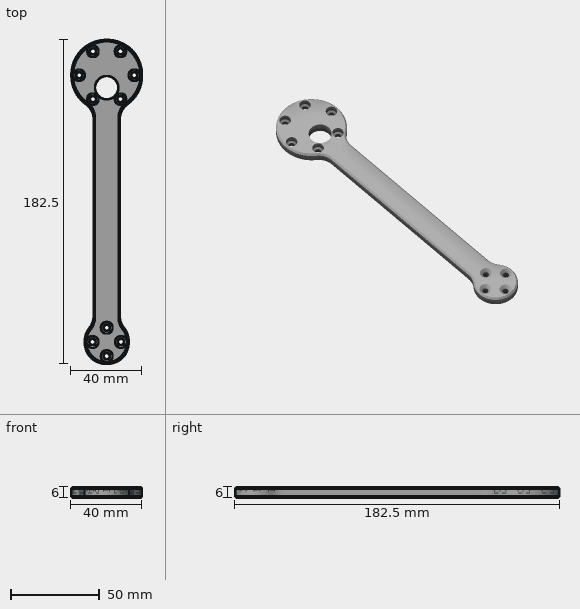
import cadquery as cq
import math

thickness = 6.0
centre_distance = 150.0
head_radius = 20.0
tail_radius = 12.5
arm_width = 15.0
neck_radius = 10.0
edge_chamfer = 1.0

head_screw_count = 6
head_screw_circle_radius = 15.5
head_screw_diameter = 3.4
counterbore_diameter = 6.5
counterbore_depth = 3.4
clearance_diameter = 13.0
clearance_offset = 7.0

tail_screw_count = 4
tail_screw_circle_radius = 8.0
tail_screw_diameter = 3.4
countersink_diameter = 6.72
countersink_angle = 90.0


def neck_points(disc_radius):
    """Ends and middle of the arc tangent to a disc and the arm's edge.

    Each point is (sideways, along the arm) measured from the disc centre.
    """
    half_arm = arm_width / 2
    side = half_arm + neck_radius
    reach = disc_radius + neck_radius
    along = math.sqrt(reach**2 - side**2)
    on_disc = (side * disc_radius / reach, along * disc_radius / reach)
    on_arm = (half_arm, along)
    middle_angle = math.pi + math.atan2(along, side) / 2
    middle = (
        side + neck_radius * math.cos(middle_angle),
        along + neck_radius * math.sin(middle_angle),
    )
    return on_disc, middle, on_arm


def make_body():
    """Link plate with blended necks and chamfered top and bottom edges."""
    head_disc, head_middle, head_arm = neck_points(head_radius)
    tail_disc, tail_middle, tail_arm = neck_points(tail_radius)

    def by_head(point, sign):
        return (sign * point[0], -point[1])

    def by_tail(point, sign):
        return (sign * point[0], point[1] - centre_distance)

    outline = (
        cq.Workplane("XY")
        .moveTo(*by_head(head_disc, 1))
        .threePointArc((0, head_radius), by_head(head_disc, -1))
        .threePointArc(by_head(head_middle, -1), by_head(head_arm, -1))
        .lineTo(*by_tail(tail_arm, -1))
        .threePointArc(by_tail(tail_middle, -1), by_tail(tail_disc, -1))
        .threePointArc((0, -centre_distance - tail_radius), by_tail(tail_disc, 1))
        .threePointArc(by_tail(tail_middle, 1), by_tail(tail_arm, 1))
        .lineTo(*by_head(head_arm, 1))
        .threePointArc(by_head(head_middle, 1), by_head(head_disc, 1))
        .close()
    )
    return outline.extrude(thickness).faces("<Z or >Z").chamfer(edge_chamfer)


def top_plane(body, centre_y):
    """Workplane on the top face with its origin on the arm's centreline."""
    return body.faces(">Z").workplane(origin=(0, centre_y, thickness))


def cut_head_holes(body):
    """Ring of counterbored holes around the head and the clearance hole on the arm side."""
    body = (
        top_plane(body, 0)
        .polarArray(head_screw_circle_radius, 0, 360, head_screw_count)
        .cboreHole(head_screw_diameter, counterbore_diameter, counterbore_depth)
    )
    return top_plane(body, -clearance_offset).hole(clearance_diameter)


def cut_tail_holes(body):
    """Ring of countersunk holes around the tail."""
    return (
        top_plane(body, -centre_distance)
        .polarArray(tail_screw_circle_radius, 0, 360, tail_screw_count)
        .cskHole(tail_screw_diameter, countersink_diameter, countersink_angle)
    )


result = cut_tail_holes(cut_head_holes(make_body()))